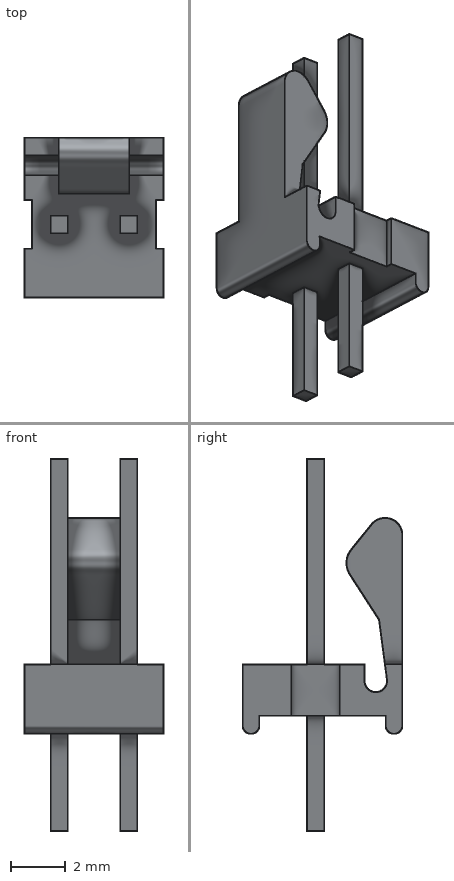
import cadquery as cq
import math


pitch = 2.54
pin_count = 2
pin_side = 0.635
pin_above_housing = 7.5
pin_length = 13.59

housing_width = pin_count * pitch
housing_depth = 5.84
rear_y = 3.17
front_y = rear_y - housing_depth
top_z = 2.54
foot_height = 0.66
foot_width = 0.62
side_notch_depth = 0.27
side_notch_length = 1.77
side_notch_center_y = 0.0

groove_radius = 0.406
groove_depth = 1.01
groove_y = rear_y - 0.975
groove_z = top_z - groove_depth + groove_radius

latch_width = 2.59
latch_height = 5.35
crest_radius = 0.635
crest_y = rear_y - crest_radius
crest_z = top_z + latch_height - crest_radius
nose_radius = 0.77
nose_y = rear_y - 2.05 + nose_radius
nose_z = top_z + 3.70
knee_y = rear_y - 0.86
knee_z = top_z + 1.63


def on_circle(center_y, center_z, radius, angle):
    """Point of a circle in the YZ plane, with the angle measured from +Y toward +Z."""
    return (center_y + radius * math.cos(angle), center_z + radius * math.sin(angle))


def tangent_angle(point_y, point_z, center_y, center_z, radius, side):
    """Angle on a circle where a line from an outside point touches it; side is +1 or -1."""
    distance = math.hypot(point_y - center_y, point_z - center_z)
    direction = math.atan2(point_z - center_z, point_y - center_y)
    return direction + side * math.acos(radius / distance)


def extrude_across(outline, width):
    """Extrude a closed YZ outline by the given width, centred on X = 0."""
    return outline.close().extrude(width / 2, both=True)


groove_touch = on_circle(
    groove_y, groove_z, groove_radius,
    tangent_angle(knee_y, knee_z, groove_y, groove_z, groove_radius, -1),
)
arm_slope = (knee_y - groove_touch[0]) / (knee_z - groove_touch[1])
arm_root_y = knee_y + arm_slope * (top_z - knee_z)


def make_foot(center_y):
    radius = foot_width / 2
    outline = (
        cq.Workplane("YZ")
        .moveTo(center_y - radius, foot_height)
        .lineTo(center_y - radius, radius)
        .threePointArc((center_y, 0), (center_y + radius, radius))
        .lineTo(center_y + radius, foot_height)
    )
    return extrude_across(outline, housing_width)


def make_groove():
    front_wall_y = groove_y - groove_radius
    outline = (
        cq.Workplane("YZ")
        .moveTo(arm_root_y, top_z)
        .lineTo(*groove_touch)
        .threePointArc((groove_y, groove_z - groove_radius), (front_wall_y, groove_z))
        .lineTo(front_wall_y, top_z)
    )
    return extrude_across(outline, housing_width)


def make_housing():
    height = top_z - foot_height
    center_y = (rear_y + front_y) / 2
    housing = cq.Workplane("XY", origin=(0, center_y, foot_height + height / 2)).box(
        housing_width, housing_depth, height
    )
    for foot_y in (front_y + foot_width / 2, rear_y - foot_width / 2):
        housing = housing.union(make_foot(foot_y))
    side_notches = (
        cq.Workplane("XY", origin=(0, side_notch_center_y, foot_height))
        .pushPoints([(-housing_width / 2, 0), (housing_width / 2, 0)])
        .rect(2 * side_notch_depth, side_notch_length)
        .extrude(height)
    )
    return housing.cut(side_notches).cut(make_groove())


def make_latch():
    center_distance = math.hypot(nose_y - crest_y, nose_z - crest_z)
    center_direction = math.atan2(nose_z - crest_z, nose_y - crest_y)
    ramp_angle = center_direction - math.acos((crest_radius - nose_radius) / center_distance)
    under_angle = tangent_angle(knee_y, knee_z, nose_y, nose_z, nose_radius, -1)
    outline = (
        cq.Workplane("YZ")
        .moveTo(rear_y, top_z)
        .lineTo(arm_root_y, top_z)
        .lineTo(knee_y, knee_z)
        .lineTo(*on_circle(nose_y, nose_z, nose_radius, under_angle))
        .threePointArc((nose_y - nose_radius, nose_z), on_circle(nose_y, nose_z, nose_radius, ramp_angle))
        .lineTo(*on_circle(crest_y, crest_z, crest_radius, ramp_angle))
        .threePointArc((crest_y, crest_z + crest_radius), (rear_y, crest_z))
    )
    return extrude_across(outline, latch_width)


def make_pin(center_x):
    pin_top_z = top_z + pin_above_housing
    return (
        cq.Workplane("XY", origin=(center_x, 0, pin_top_z - pin_length))
        .rect(pin_side, pin_side)
        .extrude(pin_length)
    )


result = make_housing().union(make_latch())
for index in range(pin_count):
    result = result.union(make_pin((index - (pin_count - 1) / 2) * pitch))